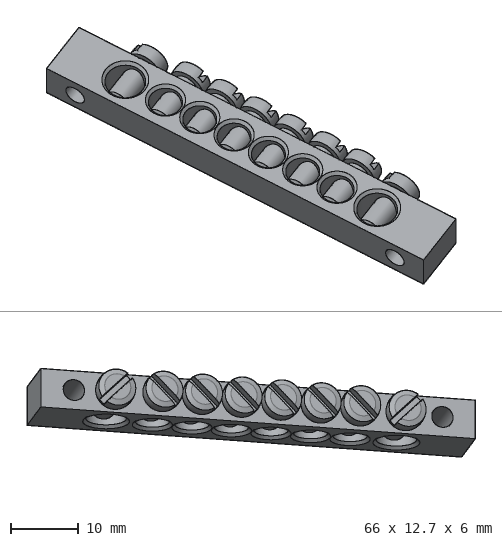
import cadquery as cq

bar_length = 66.0
bar_depth = 9.0
bar_height = 6.0

mount_dia = 3.25
mount_offset = 28.0

wire_pitch = 6.0
small_wire_count = 6
small_wire_dia = 5.0
large_wire_dia = 6.0
large_wire_offset = 22.05
wire_chamfer = 0.45

shank_dia = 3.9
tip_dia = 2.25
tip_length = 0.6
head_start = 7.9
head_edge_dia = 5.6
head_belly_dia = 5.8
head_side_height = 2.1
crown_height = 0.25
crown_flat_dia = 3.95
slot_width = 1.0
slot_depth = 1.65
slot_angle = 45.0

small_tip_y = 2.4
large_tip_y = 1.8

screw_length = head_start + head_side_height + crown_height
small_wire_xs = [(i - (small_wire_count - 1) / 2) * wire_pitch for i in range(small_wire_count)]
large_wire_xs = [-large_wire_offset, large_wire_offset]


def depth_plane(x, y):
    """Plane parallel to the front face, with its normal along +Y."""
    return cq.Plane(origin=(x, y, 0), xDir=(1, 0, 0), normal=(0, 1, 0))


def tapered_shank(x, tip_y):
    """Screw shank with its conical tip, up to the underside of the head."""
    shank = cq.Workplane(depth_plane(x, tip_y)).circle(shank_dia / 2).extrude(head_start)
    return shank.faces("<Y").chamfer(tip_length, (shank_dia - tip_dia) / 2)


def screw_head(x, tip_y):
    """Barrel-sided head with a low conical crown."""
    underside_y = tip_y + head_start
    rim_y = underside_y + head_side_height
    profile = (
        cq.Workplane("XY")
        .moveTo(0, underside_y)
        .lineTo(head_edge_dia / 2, underside_y)
        .threePointArc((head_belly_dia / 2, (underside_y + rim_y) / 2), (head_edge_dia / 2, rim_y))
        .lineTo(crown_flat_dia / 2, rim_y + crown_height)
        .lineTo(0, rim_y + crown_height)
        .close()
    )
    return profile.revolve(360, (0, 0, 0), (0, 1, 0)).translate((x, 0, 0))


def make_screw(x, tip_y, angle):
    """Slotted screw; the angle turns the slot about the screw axis."""
    slot = (
        cq.Workplane("XY")
        .box(2 * head_belly_dia, slot_depth, slot_width)
        .rotate((0, 0, 0), (0, 1, 0), angle)
        .translate((x, tip_y + screw_length - slot_depth / 2, 0))
    )
    return tapered_shank(x, tip_y).union(screw_head(x, tip_y)).cut(slot)


def wire_hole(x, diameter):
    """Cutter for a wire hole that widens at both ends."""
    radius = diameter / 2
    half_height = bar_height / 2
    profile = (
        cq.Workplane("XZ")
        .moveTo(0, -half_height)
        .lineTo(radius + wire_chamfer, -half_height)
        .lineTo(radius, wire_chamfer - half_height)
        .lineTo(radius, half_height - wire_chamfer)
        .lineTo(radius + wire_chamfer, half_height)
        .lineTo(0, half_height)
        .close()
    )
    return profile.revolve(360, (0, 0, 0), (0, 1, 0)).translate((x, bar_depth / 2, 0))


def make_bar():
    """Bar with mounting holes, wire holes and a bore for each screw."""
    bar = cq.Workplane("XY").box(bar_length, bar_depth, bar_height).translate((0, bar_depth / 2, 0))
    mounts = (
        cq.Workplane(depth_plane(0, 0))
        .pushPoints([(-mount_offset, 0), (mount_offset, 0)])
        .circle(mount_dia / 2)
        .extrude(bar_depth)
    )
    bar = bar.cut(mounts)
    for x in small_wire_xs:
        bar = bar.cut(wire_hole(x, small_wire_dia)).cut(tapered_shank(x, small_tip_y))
    for x in large_wire_xs:
        bar = bar.cut(wire_hole(x, large_wire_dia)).cut(tapered_shank(x, large_tip_y))
    return bar


bar = make_bar()
small_wire_screws = [make_screw(x, small_tip_y, -slot_angle) for x in small_wire_xs]
large_wire_screws = [make_screw(x, large_tip_y, slot_angle) for x in large_wire_xs]

screws = small_wire_screws + large_wire_screws
result = cq.Compound.makeCompound([bar.val(), *[screw.val() for screw in screws]])